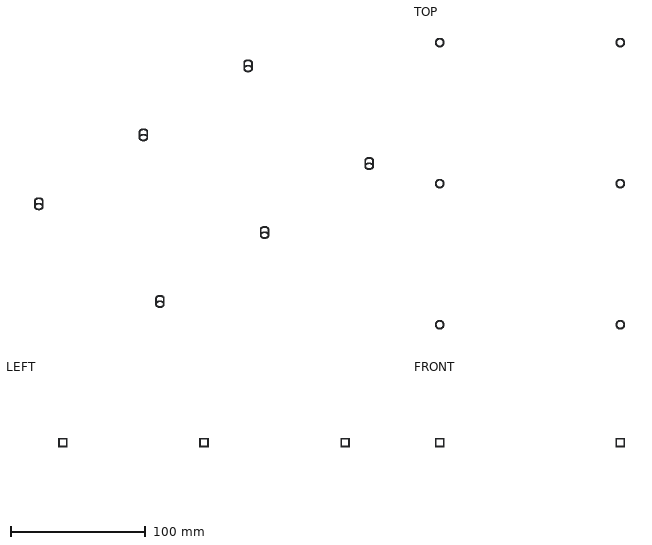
import cadquery as cq

pin_diameter = 6.0
pin_height = 6.0
overall_x = 140.0
overall_y = 215.4
columns = 2
rows = 3

pitch_x = (overall_x - pin_diameter) / (columns - 1)
pitch_y = (overall_y - pin_diameter) / (rows - 1)


def make_pin(x, y):
    """Plain cylindrical pin standing on the Z = 0 plane."""
    return cq.Workplane("XY").center(x, y).circle(pin_diameter / 2).extrude(pin_height)


pins = []
for column in range(columns):
    for row in range(rows):
        x = (column - (columns - 1) / 2) * pitch_x
        y = (row - (rows - 1) / 2) * pitch_y
        pins.append(make_pin(x, y))

result = cq.Compound.makeCompound([pin.val() for pin in pins])